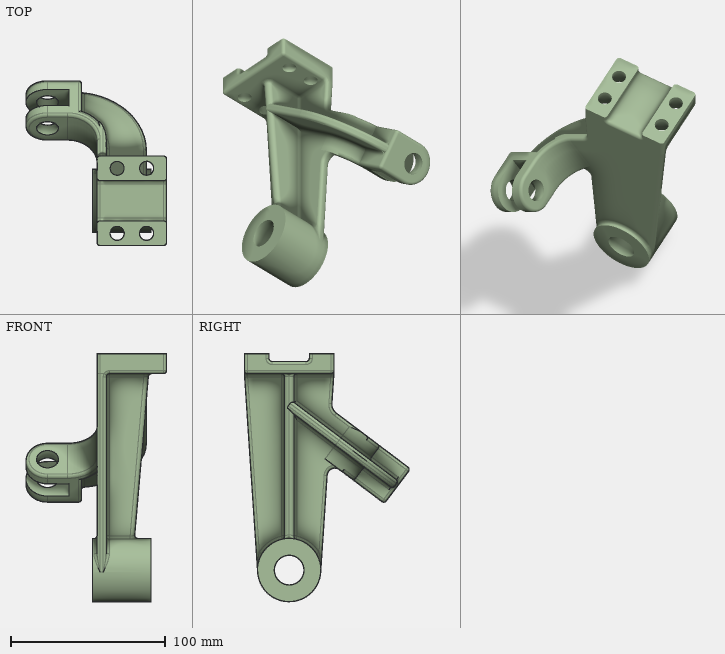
import cadquery as cq
import math


EDGE_ROUND = 2.0
WALL = 6.0
OVERLAP = 1.0
TOUCH = 0.05

BOSS_RADIUS = 20.5
BORE_RADIUS = 9.5
BOSS_PROTRUSION = 3.0
BOSS_LENGTH = 38.0
FOOT_TOP = 30.0

HEAD_LENGTH = 45.0
HEAD_WIDTH = 58.0
HEAD_THICKNESS = 13.0
HEAD_TOP = 140.0
HEAD_BOTTOM = HEAD_TOP - HEAD_THICKNESS
CHANNEL_WIDTH = 26.0
CHANNEL_DEPTH = 5.0
BOLT_DIAMETER = 9.0
BOLT_PITCH_X = 19.0
BOLT_PITCH_Y = 42.0

RIB_TOP_X = 33.5
RIB_FOOT_X = 23.85
RIB_FOOT_Z = 15.5
RIB_ROUND = WALL / 2 - 0.01

ARM_ANGLE = 37.0
ARM_ORIGIN_Z = 107.0
ARM_WIDTH = 28.0
ARM_HALF = ARM_WIDTH / 2
ARM_CORNER_UPPER = 7.0
ARM_CORNER_LOWER = 5.0
BEND_START = 39.64
BEND_INNER_RADIUS = 19.0
BEND_OUTER_RADIUS = BEND_INNER_RADIUS + WALL
BEND_MIDDLE_RADIUS = BEND_INNER_RADIUS + WALL / 2
BEND_CENTRE_X = -BEND_INNER_RADIUS
FLAT_END = BEND_START + ARM_HALF
ARM_RIB_EDGE_X = 32.0
ARM_RIB_RADIUS = 47.0
ARM_RIB_CENTRE_X = ARM_RIB_EDGE_X - ARM_RIB_RADIUS

EAR_THICKNESS = 8.0
SLOT_WIDTH = 13.0
CLEVIS_LENGTH = 2 * EAR_THICKNESS + SLOT_WIDTH
CLEVIS_START = BEND_START + BEND_INNER_RADIUS
CLEVIS_END = CLEVIS_START + CLEVIS_LENGTH
CLEVIS_BACK_X = -10.0
SLOT_END_X = -18.0
PIN_X = -32.0
PIN_RADIUS = 7.0


def near(a, b):
    return abs(a - b) < TOUCH


def round_edges(body, radius, test):
    """Fillet the edges whose midpoint passes the test."""
    edges = [edge for edge in body.edges().vals() if test(edge.positionAt(0.5))]
    return body.newObject(edges).fillet(radius)


def place_arm(shape):
    """Move a shape from the arm's axes to its place on the plate."""
    return shape.rotate((0, 0, 0), (1, 0, 0), -ARM_ANGLE).translate((0, 0, ARM_ORIGIN_Z))


def in_arm_axes(point):
    """The same point, measured in the arm's axes."""
    angle = math.radians(ARM_ANGLE)
    height = point.z - ARM_ORIGIN_Z
    along = point.y * math.cos(angle) - height * math.sin(angle)
    across = point.y * math.sin(angle) + height * math.cos(angle)
    return cq.Vector(point.x, along, across)


def arm_slab(thickness):
    """Workplane for extruding a slab centred across the arm."""
    return cq.Workplane("XY").workplane(offset=-thickness / 2)


def bend_point(radius, angle, centre_x=BEND_CENTRE_X):
    """Point on an arc whose centre is level with the start of the bend."""
    return (centre_x + radius * math.cos(angle), BEND_START + radius * math.sin(angle))


def bend_distance(point):
    return math.hypot(point.x - BEND_CENTRE_X, point.y - BEND_START)


def boss_cylinder(length, radius=BOSS_RADIUS):
    return cq.Workplane("YZ", origin=(-BOSS_PROTRUSION, 0, 0)).circle(radius).extrude(length)


def make_plate():
    """Plate with parallel sides beside the flange, tapering to tangents of the boss."""
    half = HEAD_WIDTH / 2
    tangent = math.atan2(HEAD_BOTTOM, half) - math.acos(BOSS_RADIUS / math.hypot(half, HEAD_BOTTOM))
    foot_y = BOSS_RADIUS * math.cos(tangent)
    foot_z = BOSS_RADIUS * math.sin(tangent)
    return (
        cq.Workplane("YZ")
        .moveTo(-half, HEAD_TOP)
        .lineTo(half, HEAD_TOP)
        .lineTo(half, HEAD_BOTTOM)
        .lineTo(foot_y, foot_z)
        .lineTo(-foot_y, foot_z)
        .lineTo(-half, HEAD_BOTTOM)
        .close()
        .extrude(WALL)
    )


def on_plate_face(point):
    return near(point.x, 0) or near(point.x, WALL)


def make_plate_with_head():
    """Plate, flat root of the arm and flange, with their outline rounded."""
    root = place_arm(arm_slab(ARM_WIDTH).rect(WALL, FLAT_END, centered=False).extrude(ARM_WIDTH))
    body = make_plate().union(root)

    def arm_corner(side):
        def test(point):
            local = in_arm_axes(point)
            inside = 0 < local.y < FLAT_END - TOUCH
            return near(point.x, WALL / 2) and near(local.z, side * ARM_HALF) and inside

        return test

    body = round_edges(body, ARM_CORNER_UPPER, arm_corner(1))
    body = round_edges(body, ARM_CORNER_LOWER, arm_corner(-1))

    head = cq.Workplane("XY", origin=(0, 0, HEAD_BOTTOM)).box(
        HEAD_LENGTH, HEAD_WIDTH, HEAD_THICKNESS, centered=(False, True, False)
    )
    body = body.union(head)
    body = round_edges(body, EDGE_ROUND, lambda p: near(p.x, WALL) and near(p.z, HEAD_BOTTOM))

    def outline(point):
        below_head = 0 < point.z < HEAD_BOTTOM - EDGE_ROUND - TOUCH
        plate_side = on_plate_face(point) and below_head and not near(in_arm_axes(point).y, FLAT_END)
        head_side = HEAD_BOTTOM < point.z < HEAD_TOP - TOUCH
        left_corner = near(point.x, 0) and head_side
        right_rim = near(point.x, HEAD_LENGTH) and point.z < HEAD_TOP - TOUCH
        bottom_rim = near(point.z, HEAD_BOTTOM) and WALL + EDGE_ROUND < point.x and abs(point.y) > TOUCH
        return plate_side or left_corner or right_rim or bottom_rim

    return round_edges(body, EDGE_ROUND, outline)


def cut_head(body):
    """Cut the channel with its rounded ends, and the four bolt holes."""
    channel = (
        cq.Workplane("XY")
        .box(HEAD_LENGTH, CHANNEL_WIDTH, 2 * CHANNEL_DEPTH, centered=(False, True, True))
        .edges("|X and <Z")
        .fillet(EDGE_ROUND)
        .translate((0, 0, HEAD_TOP))
    )

    def channel_end(point):
        at_end = near(point.x, 0) or near(point.x, HEAD_LENGTH)
        beside = abs(point.y) < CHANNEL_WIDTH / 2 + TOUCH
        return at_end and beside and HEAD_BOTTOM + TOUCH < point.z < HEAD_TOP - TOUCH

    body = round_edges(body.cut(channel), EDGE_ROUND, channel_end)
    bolts = (
        cq.Workplane("XY", origin=(HEAD_LENGTH / 2, 0, HEAD_BOTTOM))
        .rect(BOLT_PITCH_X, BOLT_PITCH_Y, forConstruction=True)
        .vertices()
        .circle(BOLT_DIAMETER / 2)
        .extrude(HEAD_THICKNESS)
    )
    return body.cut(bolts)


def trim_arm_root(body):
    """Cut the flat root of the arm back to the outer surface of the bend."""
    waste = arm_slab(ARM_WIDTH).rect(2 * WALL, FLAT_END, centered=False).extrude(ARM_WIDTH)
    waste = waste.translate((0, BEND_START, 0))
    bend = arm_slab(ARM_WIDTH).center(BEND_CENTRE_X, BEND_START).circle(BEND_OUTER_RADIUS).extrude(ARM_WIDTH)
    return body.cut(place_arm(waste.cut(bend)))


def make_arm():
    """Bent strip and solid clevis block with rounded edges, in the arm's axes."""
    middle = math.radians(45)
    strip = (
        arm_slab(ARM_WIDTH)
        .moveTo(0, BEND_START)
        .threePointArc(bend_point(BEND_INNER_RADIUS, middle), (BEND_CENTRE_X, CLEVIS_START))
        .lineTo(BEND_CENTRE_X, CLEVIS_START + WALL)
        .threePointArc(bend_point(BEND_OUTER_RADIUS, middle), (WALL, BEND_START))
        .close()
        .extrude(ARM_WIDTH)
    )
    block = (
        cq.Workplane("XZ", origin=(0, CLEVIS_START, 0))
        .moveTo(CLEVIS_BACK_X, ARM_HALF)
        .lineTo(PIN_X, ARM_HALF)
        .threePointArc((PIN_X - ARM_HALF, 0), (PIN_X, -ARM_HALF))
        .lineTo(CLEVIS_BACK_X, -ARM_HALF)
        .close()
        .extrude(-CLEVIS_LENGTH)
    )
    room = arm_slab(ARM_WIDTH).center(BEND_CENTRE_X, BEND_START).circle(BEND_INNER_RADIUS).extrude(ARM_WIDTH)

    def rim(point):
        on_side = near(abs(point.z), ARM_HALF)
        distance = bend_distance(point)
        bend_edge = on_side and (near(distance, BEND_INNER_RADIUS) or near(distance, BEND_OUTER_RADIUS))
        inner_ear = near(point.y, CLEVIS_START) and point.x < BEND_CENTRE_X - TOUCH
        outer_ear = near(point.y, CLEVIS_END)
        back_corner = on_side and near(point.x, CLEVIS_BACK_X)
        return bend_edge or inner_ear or outer_ear or back_corner

    return round_edges(strip.union(block.cut(room)), EDGE_ROUND, rim)


def make_arm_rib():
    """Curved rib behind the bend, from the plate to the back of the clevis, in the arm's axes."""
    clevis_angle = math.acos((CLEVIS_BACK_X - ARM_RIB_CENTRE_X) / ARM_RIB_RADIUS)
    inner_angle = math.acos((CLEVIS_BACK_X - BEND_CENTRE_X) / BEND_MIDDLE_RADIUS)
    rib = (
        arm_slab(WALL)
        .moveTo(WALL / 2, 0)
        .lineTo(ARM_RIB_EDGE_X, 0)
        .lineTo(ARM_RIB_EDGE_X, BEND_START)
        .threePointArc(
            bend_point(ARM_RIB_RADIUS, clevis_angle / 2, ARM_RIB_CENTRE_X),
            bend_point(ARM_RIB_RADIUS, clevis_angle, ARM_RIB_CENTRE_X),
        )
        .lineTo(*bend_point(BEND_MIDDLE_RADIUS, inner_angle))
        .threePointArc(bend_point(BEND_MIDDLE_RADIUS, inner_angle / 2), (WALL / 2, BEND_START))
        .close()
        .extrude(WALL)
    )
    return round_edges(rib, EDGE_ROUND, lambda p: p.x > WALL + TOUCH and near(abs(p.z), WALL / 2))


def make_clevis_cove(side):
    """Concave fillet between one side of the arm rib and the back of the clevis, in the arm's axes."""
    start = BEND_START + BEND_MIDDLE_RADIUS
    end = CLEVIS_END - EDGE_ROUND - OVERLAP
    root_x = CLEVIS_BACK_X - OVERLAP
    rib_face = WALL / 2
    middle = EDGE_ROUND * (1 - math.sqrt(0.5))
    return (
        cq.Workplane("XZ", origin=(0, start, 0))
        .moveTo(root_x, 0)
        .lineTo(CLEVIS_BACK_X + EDGE_ROUND, 0)
        .lineTo(CLEVIS_BACK_X + EDGE_ROUND, side * rib_face)
        .threePointArc(
            (CLEVIS_BACK_X + middle, side * (rib_face + middle)),
            (CLEVIS_BACK_X, side * (rib_face + EDGE_ROUND)),
        )
        .lineTo(root_x, side * (rib_face + EDGE_ROUND))
        .close()
        .extrude(start - end)
    )


def add_arm_rib(frame):
    """Join the arm rib to the frame with concave fillets along the plate, bend and clevis."""

    def rib_root(point):
        local = in_arm_axes(point)
        on_rib = near(abs(local.z), WALL / 2)
        on_plate = near(local.x, WALL) and TOUCH < local.y < BEND_START
        on_bend = near(bend_distance(local), BEND_OUTER_RADIUS) and local.y > BEND_START
        return on_rib and (on_plate or on_bend)

    body = round_edges(frame.union(place_arm(make_arm_rib())), EDGE_ROUND, rib_root)
    for side in (1, -1):
        body = body.union(place_arm(make_clevis_cove(side)))
    return body


def make_foot():
    """Boss and foot of the plate, with the fillets between them on both faces of the plate."""
    plate = round_edges(
        make_plate(),
        EDGE_ROUND,
        lambda p: on_plate_face(p) and abs(p.y) > BOSS_RADIUS and 0 < p.z < HEAD_BOTTOM - TOUCH,
    )
    size = 2 * HEAD_TOP
    above = cq.Workplane("XY").box(size, size, size).translate((0, 0, FOOT_TOP + size / 2))
    foot = plate.cut(above).union(boss_cylinder(BOSS_PROTRUSION + WALL / 2))
    foot = round_edges(foot, EDGE_ROUND, lambda p: near(p.x, 0) and near(p.y, 0) and near(p.z, BOSS_RADIUS))
    beyond_middle = cq.Workplane("XY").box(size, size, size).translate((WALL / 2 + size / 2, 0, 0))
    left_half = foot.cut(beyond_middle)
    right_half = left_half.mirror("YZ", (WALL / 2, 0, 0))
    return left_half.union(right_half).union(boss_cylinder(BOSS_LENGTH))


def make_main_rib():
    rib = (
        cq.Workplane("XZ", origin=(0, WALL / 2, 0))
        .moveTo(0, HEAD_BOTTOM + OVERLAP)
        .lineTo(RIB_TOP_X, HEAD_BOTTOM + OVERLAP)
        .lineTo(RIB_FOOT_X, RIB_FOOT_Z)
        .lineTo(0, RIB_FOOT_Z)
        .close()
        .extrude(WALL)
    )
    middle_x = (RIB_TOP_X + RIB_FOOT_X) / 2
    return round_edges(rib, RIB_ROUND, lambda p: near(p.x, middle_x) and near(abs(p.y), WALL / 2))


def add_main_rib(frame):
    """Join the rib to the frame with concave fillets along the plate, flange and boss."""

    def rib_root(point):
        on_rib = near(abs(point.y), WALL / 2)
        return on_rib and near(point.x, WALL) and FOOT_TOP < point.z < HEAD_BOTTOM

    return round_edges(frame.union(make_main_rib()), EDGE_ROUND, rib_root)


def cut_clevis(body):
    """Cut the slot between the ears and the pin hole through them."""
    slot_length = SLOT_END_X - (PIN_X - ARM_WIDTH)
    slot = cq.Workplane("XY", origin=(SLOT_END_X - slot_length, CLEVIS_START + EAR_THICKNESS, 0)).box(
        slot_length, SLOT_WIDTH, ARM_WIDTH, centered=(False, False, True)
    )
    pin = cq.Workplane("XZ", origin=(PIN_X, CLEVIS_START, 0)).circle(PIN_RADIUS).extrude(-CLEVIS_LENGTH)
    return body.cut(place_arm(slot)).cut(place_arm(pin))


frame = trim_arm_root(cut_head(make_plate_with_head()))
frame = frame.union(place_arm(make_arm()))

with_arm_rib = add_arm_rib(frame)
with_main_rib = add_main_rib(frame.union(make_foot()))

body = with_main_rib.union(with_arm_rib)
body = cut_clevis(body)
result = body.cut(boss_cylinder(BOSS_LENGTH, BORE_RADIUS))